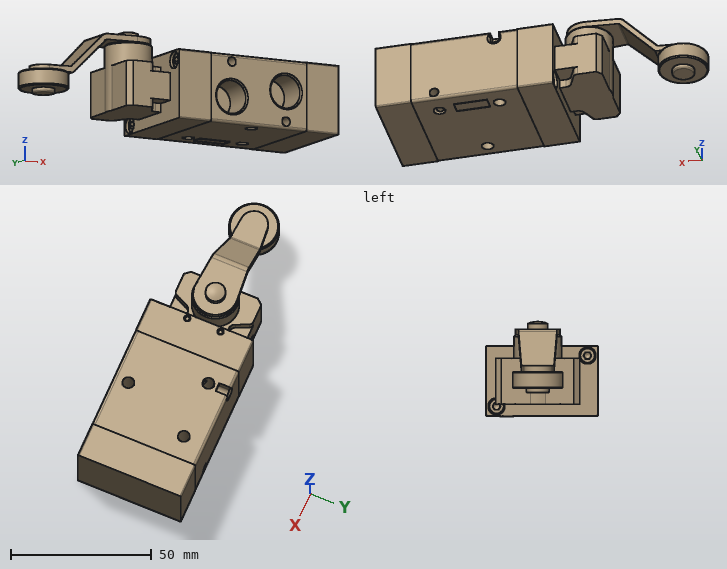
import cadquery as cq
import math


VALVE_WIDTH = 40.0
VALVE_HEIGHT = 25.0
CAP_LENGTH = 13.0
BODY_LENGTH = 38.9
BODY_EDGE_RADIUS = 0.9
CAP_EDGE_RADIUS = 0.5
REAR_CAP_X = CAP_LENGTH + BODY_LENGTH
BODY_MID_X = CAP_LENGTH + BODY_LENGTH / 2
MID_Z = VALVE_HEIGHT / 2

HOLE_PITCH = 22.0
FRONT_HOLE_X = BODY_MID_X - HOLE_PITCH / 2
REAR_HOLE_X = BODY_MID_X + HOLE_PITCH / 2
MOUNT_DIAMETER = 4.2
MOUNT_PAIR_Y = 11.8
MOUNT_SINGLE_Y = -14.4
CROSS_DIAMETER = 3.3
CROSS_HOLE_OFFSET = 9.8
UPPER_CROSS_Z = MID_Z + CROSS_HOLE_OFFSET
LOWER_CROSS_Z = MID_Z - CROSS_HOLE_OFFSET
PORT_DIAMETER = 12.0
PORT_CHAMFER = 0.6
PORT_DEPTH = 12.0
PORT_OFFSET = 2.0
FRONT_PORT_Z = 9.6
REAR_PORT_Z = FRONT_PORT_Z + 2 * PORT_OFFSET
SLOT_LENGTH = 4.7
CROSS_COUNTERSINK = 0.8

PAD_LENGTH = 12.2
PAD_WIDTH = 4.6
PAD_HEIGHT = 0.2
PAD_X = 31.4
PAD_Y = 12.5

SCREW_Y = 16.2
SCREW_OFFSET_Z = 9.0
SCREW_PLACES = [(-SCREW_Y, MID_Z + SCREW_OFFSET_Z), (SCREW_Y, MID_Z - SCREW_OFFSET_Z)]
SCREW_HEAD_DIAMETER = 6.0
SCREW_HEAD_HEIGHT = 3.0
SCREW_HEAD_CHAMFER = 0.5
SCREW_SINK = 0.9
SCREW_SHANK_DIAMETER = 3.0
SCREW_ENGAGEMENT = 5.9
SOCKET_WIDTH = 2.5
SOCKET_DEPTH = 1.5
SOCKET_TIP_DEPTH = 0.7

HEAD_Y = 1.5
HEAD_FRONT_X = -16.9
HEAD_WIDTH = 30.0
HEAD_BOTTOM_Z = 4.2
HEAD_HEIGHT = 16.3
HEAD_CHAMFER_X = 2.1
HEAD_CHAMFER_Y = 1.8
HEAD_TOP_Z = HEAD_BOTTOM_Z + HEAD_HEIGHT
PIVOT_X = -8.8
BOSS_DIAMETER = 17.0
BOSS_CHAMFER = 0.6

CLEARANCE_DEPTH = 3.2
CLEARANCE_OUTER_X = -7.0
CLEARANCE_INNER_X = -3.9
NECK_WIDTH = 15.9
CLEARANCE_OUTER_RADIUS = 1.6
CLEARANCE_INNER_RADIUS = 2.5

DIMPLE_X = 1.6
DIMPLE_SPACING = 12.9
DIMPLE_DIAMETER = 2.3
DIMPLE_FLOOR_DIAMETER = 1.5
DIMPLE_DEPTH = 0.4

LEVER_THICKNESS = 2.1
LEVER_BOTTOM_Z = 28.8
LEVER_TOP_Z = LEVER_BOTTOM_Z + LEVER_THICKNESS
CRANK_DROP = 13.0
CRANK_ANGLE = 45
UPPER_BEND_X = -22.3
INNER_BEND_RADIUS = 0.8
OUTER_BEND_RADIUS = INNER_BEND_RADIUS + LEVER_THICKNESS
PIVOT_END_RADIUS = 8.0
ROLLER_END_RADIUS = 5.0
STUD_DIAMETER = 7.1
STUD_HEIGHT = 1.9
STUD_DOME_HEIGHT = 0.8

ROLLER_DIAMETER = 17.9
ROLLER_HEIGHT = 6.0
ROLLER_CHAMFER = 0.5
LEVER_REACH = 52.3
ROLLER_X = -LEVER_REACH + ROLLER_DIAMETER / 2
ROLLER_TOP_Z = LEVER_BOTTOM_Z - CRANK_DROP
ROLLER_BOTTOM_Z = ROLLER_TOP_Z - ROLLER_HEIGHT
PIN_DIAMETER = 4.0
PIN_HEAD_DIAMETER = 8.1
PIN_HEAD_HEIGHT = 1.5
PIN_HEAD_RADIUS = 0.5


def cylinder_z(x, y, z, diameter, height):
    """Upright cylinder standing on z."""
    return cq.Workplane("XY", origin=(x, y, z)).circle(diameter / 2).extrude(height)


def cylinder_x(x, y, z, diameter, length):
    """Cylinder running toward +X from x."""
    return cq.Workplane("YZ", origin=(x, y, z)).circle(diameter / 2).extrude(length)


def cylinder_y(x, y, z, diameter, length):
    """Cylinder running toward +Y from y."""
    return cq.Workplane("XZ", origin=(x, y, z)).circle(diameter / 2).extrude(-length)


def valve_block(x, length, edge_radius):
    """Block of the valve section with its four long edges rounded."""
    block = cq.Workplane("XY").box(length, VALVE_WIDTH, VALVE_HEIGHT, centered=(False, True, False))
    return block.edges("|X").fillet(edge_radius).translate((x, 0, 0))


def cone(start, direction, start_diameter, end_diameter, length):
    """Cone or cone frustum running from start along direction."""
    return cq.Workplane(cq.Solid.makeCone(
        start_diameter / 2, end_diameter / 2, length,
        pnt=cq.Vector(*start), dir=cq.Vector(*direction),
    ))


def port(x, z):
    """Blind port from the -Y side with a chamfered mouth."""
    side_y = -VALVE_WIDTH / 2
    bore = cylinder_y(x, side_y, z, PORT_DIAMETER, PORT_DEPTH)
    mouth_diameter = PORT_DIAMETER + 2 * PORT_CHAMFER
    return bore.union(cone((x, side_y, z), (0, 1, 0), mouth_diameter, PORT_DIAMETER, PORT_CHAMFER))


def cross_hole_slot():
    """Countersink at the +Y end of the upper cross hole, and the slot that opens it to the top."""
    side_y = VALVE_WIDTH / 2
    slot = (
        cq.Workplane("XY", origin=(FRONT_HOLE_X, side_y - SLOT_LENGTH / 2, UPPER_CROSS_Z))
        .rect(CROSS_DIAMETER, SLOT_LENGTH).extrude(VALVE_HEIGHT - UPPER_CROSS_Z)
    )
    mouth = (FRONT_HOLE_X, side_y, UPPER_CROSS_Z)
    mouth_diameter = CROSS_DIAMETER + 2 * CROSS_COUNTERSINK
    return slot.union(cone(mouth, (0, -1, 0), mouth_diameter, CROSS_DIAMETER, CROSS_COUNTERSINK))


def screw_cutter():
    """Space taken in the cap and the body by one screw, along +X from the origin."""
    counterbore = cylinder_x(0, 0, 0, SCREW_HEAD_DIAMETER, SCREW_SINK + SCREW_HEAD_HEIGHT)
    shank = cylinder_x(0, 0, 0, SCREW_SHANK_DIAMETER, CAP_LENGTH + SCREW_ENGAGEMENT)
    return counterbore.union(shank)


def cut_screw_holes(block):
    for y, z in SCREW_PLACES:
        block = block.cut(screw_cutter().translate((0, y, z)))
    return block


def make_body():
    body = valve_block(CAP_LENGTH, BODY_LENGTH, BODY_EDGE_RADIUS)
    mounting_holes = [
        (FRONT_HOLE_X, MOUNT_PAIR_Y),
        (REAR_HOLE_X, MOUNT_PAIR_Y),
        (BODY_MID_X, MOUNT_SINGLE_Y),
    ]
    for x, y in mounting_holes:
        body = body.cut(cylinder_z(x, y, 0, MOUNT_DIAMETER, VALVE_HEIGHT))
    for x, z in [(FRONT_HOLE_X, UPPER_CROSS_Z), (REAR_HOLE_X, LOWER_CROSS_Z)]:
        body = body.cut(cylinder_y(x, -VALVE_WIDTH / 2, z, CROSS_DIAMETER, VALVE_WIDTH))
    for x, z in [(FRONT_HOLE_X, FRONT_PORT_Z), (REAR_HOLE_X, REAR_PORT_Z)]:
        body = body.cut(port(x, z))
    body = cut_screw_holes(body.cut(cross_hole_slot()))
    pad = (
        cq.Workplane("XY", origin=(PAD_X, PAD_Y, 0))
        .rect(PAD_LENGTH, PAD_WIDTH).extrude(-PAD_HEIGHT)
    )
    return body.union(pad)


def make_front_cap():
    cap = cut_screw_holes(valve_block(0, CAP_LENGTH, CAP_EDGE_RADIUS))
    for side in (-1, 1):
        dimple_y = HEAD_Y + side * DIMPLE_SPACING / 2
        dimple = cone(
            (DIMPLE_X, dimple_y, VALVE_HEIGHT), (0, 0, -1),
            DIMPLE_DIAMETER, DIMPLE_FLOOR_DIAMETER, DIMPLE_DEPTH,
        )
        cap = cap.cut(dimple)
    return cap


def make_rear_cap():
    return valve_block(REAR_CAP_X, CAP_LENGTH, CAP_EDGE_RADIUS)


def make_screw(y, z):
    """Socket head screw pointing toward +X."""
    head = (
        cylinder_x(SCREW_SINK, 0, 0, SCREW_HEAD_DIAMETER, SCREW_HEAD_HEIGHT)
        .faces("<X").edges().chamfer(SCREW_HEAD_CHAMFER)
    )
    shank_length = CAP_LENGTH + SCREW_ENGAGEMENT - SCREW_SINK
    shank = cylinder_x(SCREW_SINK, 0, 0, SCREW_SHANK_DIAMETER, shank_length)
    socket = (
        cq.Workplane("YZ", origin=(SCREW_SINK, 0, 0))
        .polygon(6, SOCKET_WIDTH / math.cos(math.radians(30))).extrude(SOCKET_DEPTH)
    )
    socket_tip = cone((SCREW_SINK + SOCKET_DEPTH, 0, 0), (1, 0, 0), SOCKET_WIDTH, 0, SOCKET_TIP_DEPTH)
    return head.union(shank).cut(socket).cut(socket_tip).translate((0, y, z))


def corner_clearance(z):
    """Screwdriver clearance at the +Y rear corner of the head, centred on Y = 0, rising from z."""
    side_y = HEAD_WIDTH / 2
    neck_y = NECK_WIDTH / 2
    mid_z = z + CLEARANCE_DEPTH / 2
    outside_y = side_y + CLEARANCE_OUTER_RADIUS * 2
    outline = [
        (0, neck_y),
        (CLEARANCE_INNER_X, neck_y),
        (CLEARANCE_OUTER_X, side_y),
        (HEAD_FRONT_X, side_y),
        (HEAD_FRONT_X, outside_y),
        (0, outside_y),
    ]
    return (
        cq.Workplane("XY", origin=(0, 0, z))
        .polyline(outline).close().extrude(CLEARANCE_DEPTH)
        .edges(cq.selectors.NearestToPointSelector((CLEARANCE_INNER_X, neck_y, mid_z)))
        .fillet(CLEARANCE_INNER_RADIUS)
        .edges(cq.selectors.NearestToPointSelector((CLEARANCE_OUTER_X, side_y, mid_z)))
        .fillet(CLEARANCE_OUTER_RADIUS)
    )


def make_head():
    """Lever head, with a boss that also bulges through its front face."""
    head = (
        cq.Workplane("XY", origin=(HEAD_FRONT_X, 0, HEAD_BOTTOM_Z))
        .box(-HEAD_FRONT_X, HEAD_WIDTH, HEAD_HEIGHT, centered=(False, True, False))
        .edges("|Z and <X").chamfer(HEAD_CHAMFER_X, HEAD_CHAMFER_Y)
    )
    for z in (HEAD_BOTTOM_Z, HEAD_TOP_Z - CLEARANCE_DEPTH):
        clearance = corner_clearance(z)
        head = head.cut(clearance).cut(clearance.mirror("XZ"))
    boss = (
        cylinder_z(PIVOT_X, 0, HEAD_BOTTOM_Z, BOSS_DIAMETER, LEVER_BOTTOM_Z - HEAD_BOTTOM_Z)
        .faces(">Z").edges().chamfer(BOSS_CHAMFER)
    )
    return head.union(boss).translate((0, HEAD_Y, 0))


def lever_side_profile():
    """Side shape of the cranked lever, extruded as wide as its pivot end; the lowest corner is sharp."""
    run = CRANK_DROP / math.tan(math.radians(CRANK_ANGLE))
    lower_bend_x = UPPER_BEND_X - run
    underside_shift = LEVER_THICKNESS * math.tan(math.radians(CRANK_ANGLE / 2))
    roller_end_x = ROLLER_X - ROLLER_END_RADIUS
    pivot_end_x = PIVOT_X + PIVOT_END_RADIUS
    outline = [
        (roller_end_x, LEVER_TOP_Z - CRANK_DROP),
        (lower_bend_x, LEVER_TOP_Z - CRANK_DROP),
        (UPPER_BEND_X, LEVER_TOP_Z),
        (pivot_end_x, LEVER_TOP_Z),
        (pivot_end_x, LEVER_BOTTOM_Z),
        (UPPER_BEND_X + underside_shift, LEVER_BOTTOM_Z),
        (lower_bend_x + underside_shift, LEVER_BOTTOM_Z - CRANK_DROP),
        (roller_end_x, LEVER_BOTTOM_Z - CRANK_DROP),
    ]
    bends = [
        (outline[1], INNER_BEND_RADIUS),
        (outline[2], OUTER_BEND_RADIUS),
        (outline[5], INNER_BEND_RADIUS),
    ]
    strip = cq.Workplane("XZ").polyline(outline).close().extrude(PIVOT_END_RADIUS, both=True)
    for (x, z), radius in bends:
        strip = strip.edges(cq.selectors.NearestToPointSelector((x, 0, z))).fillet(radius)
    return strip


def lever_plan():
    """Plan outline of the lever, two round ends joined by their common tangents, as a tall block."""
    tangent_cos = (PIVOT_END_RADIUS - ROLLER_END_RADIUS) / (PIVOT_X - ROLLER_X)
    tangent_sin = math.sqrt(1 - tangent_cos**2)

    def tangent_point(center_x, radius, side):
        return (center_x - radius * tangent_cos, side * radius * tangent_sin)

    return (
        cq.Workplane("XY")
        .moveTo(*tangent_point(ROLLER_X, ROLLER_END_RADIUS, -1))
        .lineTo(*tangent_point(PIVOT_X, PIVOT_END_RADIUS, -1))
        .threePointArc((PIVOT_X + PIVOT_END_RADIUS, 0), tangent_point(PIVOT_X, PIVOT_END_RADIUS, 1))
        .lineTo(*tangent_point(ROLLER_X, ROLLER_END_RADIUS, 1))
        .threePointArc((ROLLER_X - ROLLER_END_RADIUS, 0), tangent_point(ROLLER_X, ROLLER_END_RADIUS, -1))
        .close().extrude(LEVER_TOP_Z)
    )


def pivot_stud():
    """Round stud with a domed top."""
    radius = STUD_DIAMETER / 2
    dome_radius = (radius**2 + STUD_DOME_HEIGHT**2) / (2 * STUD_DOME_HEIGHT)
    stud_top_z = LEVER_TOP_Z + STUD_HEIGHT + STUD_DOME_HEIGHT
    dome = cq.Workplane("XY").sphere(dome_radius).translate((PIVOT_X, 0, stud_top_z - dome_radius))
    stud = cylinder_z(PIVOT_X, 0, LEVER_TOP_Z, STUD_DIAMETER, STUD_HEIGHT + STUD_DOME_HEIGHT)
    return stud.intersect(dome)


def roller_pin():
    """Pin through the roller with a retaining head below it."""
    shank = cylinder_z(ROLLER_X, 0, ROLLER_BOTTOM_Z, PIN_DIAMETER, ROLLER_HEIGHT)
    head = (
        cylinder_z(ROLLER_X, 0, ROLLER_BOTTOM_Z - PIN_HEAD_HEIGHT, PIN_HEAD_DIAMETER, PIN_HEAD_HEIGHT)
        .faces("<Z").edges().fillet(PIN_HEAD_RADIUS)
    )
    return shank.union(head)


def make_lever():
    strip = lever_side_profile().intersect(lever_plan())
    return strip.union(pivot_stud()).union(roller_pin()).translate((0, HEAD_Y, 0))


def make_roller():
    roller = cylinder_z(ROLLER_X, HEAD_Y, ROLLER_BOTTOM_Z, ROLLER_DIAMETER, ROLLER_HEIGHT)
    roller = roller.faces("<Z or >Z").edges().chamfer(ROLLER_CHAMFER)
    return roller.cut(cylinder_z(ROLLER_X, HEAD_Y, ROLLER_BOTTOM_Z, PIN_DIAMETER, ROLLER_HEIGHT))


body = make_body()
front_cap = make_front_cap()
rear_cap = make_rear_cap()
head = make_head()
lever = make_lever()
roller = make_roller()
screws = [make_screw(y, z) for y, z in SCREW_PLACES]

result = cq.Compound.makeCompound([
    body.val(),
    front_cap.val(),
    rear_cap.val(),
    head.val(),
    lever.val(),
    roller.val(),
    *[screw.val() for screw in screws],
])